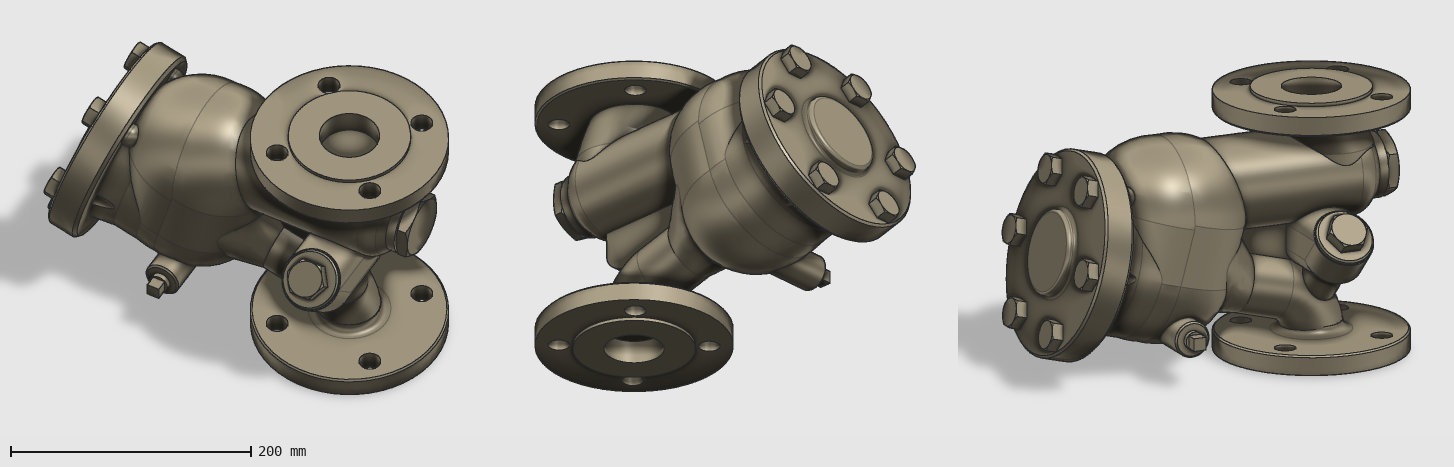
import cadquery as cq
import math


FACE_TO_FACE = 230.0
FLANGE_DIA = 165.0
FLANGE_THICKNESS = 17.0
FLANGE_CHAMFER = 1.5
RAISED_DIA = 102.0
RAISED_HEIGHT = 3.0
FLANGE_BOLT_CIRCLE = 125.0
FLANGE_HOLE_DIA = 18.0
FLANGE_HOLES = 4
BORE_DIA = 50.0
BORE_DEPTH = 20.0
HALF_HEIGHT = FACE_TO_FACE / 2
FLANGE_BACK_Z = HALF_HEIGHT - RAISED_HEIGHT - FLANGE_THICKNESS

BARREL_RADIUS = 40.0
BARREL_Z = 40.0
BARREL_ROUND_START_X = 29.5
BARREL_ROUND_RADIUS = 20.0
BARREL_ROUND_ANGLE = 45.0
BARREL_NECK_DIA = 56.0
BARREL_NECK_START_X = 50.0
BARREL_NECK_END_X = 58.2
PLUG_FLATS = 50.0
PLUG_THICKNESS = 11.0

HEX_CHAMFER_SLOPE = 0.5

NECK_DIA = 75.0
NECK_SHIFT = 16.0
NECK_MID_SHIFT = 9.0
NECK_STRAIGHT_Z = 64.5

TILT = 15.0
COVER_X = -233.85
AXIS_MEET_Z = -64.0
COVER_DIA = 176.0
COVER_THICKNESS = 27.7
COVER_FRONT_CHAMFER = 2.0
COVER_BACK_CHAMFER = 3.0
CHAMBER_RADIUS = 61.5
CHAMBER_FLARE_RADIUS = 66.0
CHAMBER_FLARE_END = 49.0
CHAMBER_SPHERE_AT = 95.0
OUTLET_RADIUS = 26.5
OUTLET_BLEND = 20.0
OUTLET_FOOT_FLARE = 8.0
SHOULDER_START = 131.0
SHOULDER_START_RADIUS = 51.0
SHOULDER_START_RISE = 20.0
SHOULDER_END = 174.0
COVER_BOSS_DIA = 73.0
COVER_BOSS_HEIGHT = 8.0
COVER_BOSS_FILLET = 3.0

COVER_BOLTS = 6
COVER_BOLT_CIRCLE = 144.0
BOLT_FLATS = 24.0
BOLT_HEAD_HEIGHT = 10.0
BOSSED_BOLTS = (1, 2)
BOLT_BOSS_RADIUS = 10.0
BOLT_BOSS_LENGTH = 2.5
BOLT_RELIEF_DIA = 20.0
BOLT_RELIEF_LENGTH = 25.0

DOME_X = -134.5
DOME_Z = 25.0
DOME_RADIUS = 62.5
DOME_SPREAD = 14.0

CAP_ELEVATION = 45.0
CAP_AXIS_Z = -65.0
CAP_STEM_DIA = 34.0
CAP_BODY_DIA = 52.0
CAP_BODY_START = 62.0
CAP_BODY_END = 92.0
CAP_CHAMFER = 1.5
CAP_RING_DIA = 50.0
CAP_RING_HEIGHT = 4.0
CAP_HEX_FLATS = 30.0
CAP_HEX_HEIGHT = 11.0

DRAIN_X = -140.2
DRAIN_Z = -69.3
DRAIN_BOSS_DIA = 31.0
DRAIN_BOSS_END = 69.5
DRAIN_CHAMFER = 1.5
DRAIN_COLLAR_DIA = 16.0
DRAIN_COLLAR_HEIGHT = 4.5
DRAIN_SQUARE = 11.0
DRAIN_SQUARE_HEIGHT = 10.0

WEB_THICKNESS = 12.0

TILT_COS = math.cos(math.radians(TILT))
TILT_SIN = math.sin(math.radians(TILT))
AXIS_DIR = cq.Vector(TILT_COS, 0, -TILT_SIN)
COVER_CENTRE = cq.Vector(COVER_X, 0, AXIS_MEET_Z - COVER_X * TILT_SIN / TILT_COS)
AXIS_LENGTH = -COVER_X / TILT_COS
CAP_DIR = cq.Vector(0, -math.cos(math.radians(CAP_ELEVATION)), math.sin(math.radians(CAP_ELEVATION)))
AXIAL_PLANE = cq.Plane(origin=COVER_CENTRE, xDir=AXIS_DIR, normal=(0, -1, 0))


def across_corners(flats):
    return flats / math.cos(math.pi / 6)


def cylinder(start, direction, radius, length):
    return cq.Workplane(obj=cq.Solid.makeCylinder(radius, length, start, direction))


def hexagon(plane, flats, height, both_ends=False):
    """Hexagonal head, first corner on the plane's x, with corners chamfered at the outer or both ends."""
    corners = across_corners(flats)
    depth = (corners - flats) / 2
    prism = cq.Workplane(plane).polygon(6, corners).extrude(height)
    turned = cq.Workplane(plane).circle(corners / 2).extrude(height)
    outer_face = cq.selectors.DirectionMinMaxSelector(plane.zDir, True)
    end_faces = cq.selectors.ParallelDirSelector(plane.zDir)
    turned = turned.faces(end_faces if both_ends else outer_face)
    return prism.intersect(turned.chamfer(depth * HEX_CHAMFER_SLOPE, depth))


def flange(side):
    """Pipe flange with a raised face; side is +1 for the inlet and -1 for the outlet."""
    plane = cq.Plane(origin=(0, 0, side * FLANGE_BACK_Z), xDir=(1, 0, 0), normal=(0, 0, side))
    disc = cq.Workplane(plane).circle(FLANGE_DIA / 2).extrude(FLANGE_THICKNESS)
    disc = disc.faces("<Z" if side > 0 else ">Z").chamfer(FLANGE_CHAMFER)
    raised = cq.Workplane(plane).circle(RAISED_DIA / 2).extrude(FLANGE_THICKNESS + RAISED_HEIGHT)
    holes = (
        cq.Workplane(plane)
        .polarArray(FLANGE_BOLT_CIRCLE / 2, 180 / FLANGE_HOLES, 360, FLANGE_HOLES)
        .circle(FLANGE_HOLE_DIA / 2)
        .extrude(FLANGE_THICKNESS)
    )
    return disc.union(raised).cut(holes)


def bore(side):
    plane = cq.Plane(origin=(0, 0, side * HALF_HEIGHT), xDir=(1, 0, 0), normal=(0, 0, -side))
    return cq.Workplane(plane).circle(BORE_DIA / 2).extrude(BORE_DEPTH)


def barrel():
    """Horizontal barrel: rounded shoulder, conical step and plug neck."""
    turn = math.radians(BARREL_ROUND_ANGLE)
    round_x = BARREL_ROUND_START_X + BARREL_ROUND_RADIUS * math.sin(turn)
    round_r = BARREL_RADIUS - BARREL_ROUND_RADIUS * (1 - math.cos(turn))
    mid_x = BARREL_ROUND_START_X + BARREL_ROUND_RADIUS * math.sin(turn / 2)
    mid_r = BARREL_RADIUS - BARREL_ROUND_RADIUS * (1 - math.cos(turn / 2))
    plane = cq.Plane(origin=(0, 0, BARREL_Z), xDir=(1, 0, 0), normal=(0, -1, 0))
    return (
        cq.Workplane(plane)
        .moveTo(DOME_X, 0)
        .lineTo(DOME_X, BARREL_RADIUS)
        .lineTo(BARREL_ROUND_START_X, BARREL_RADIUS)
        .threePointArc((mid_x, mid_r), (round_x, round_r))
        .lineTo(BARREL_NECK_START_X, BARREL_NECK_DIA / 2)
        .lineTo(BARREL_NECK_END_X, BARREL_NECK_DIA / 2)
        .lineTo(BARREL_NECK_END_X, 0)
        .close()
        .revolve(360, (0, 0), (1, 0))
    )


def barrel_plug():
    plane = cq.Plane(origin=(BARREL_NECK_END_X, 0, BARREL_Z), xDir=(0, 0, 1), normal=(1, 0, 0))
    return hexagon(plane, PLUG_FLATS, PLUG_THICKNESS, both_ends=True)


def inlet_neck():
    """Neck that leaves the inlet flange and leans towards +X, ending upright inside the barrel."""
    lean_height = FLANGE_BACK_Z - NECK_STRAIGHT_Z
    radius = NECK_DIA / 2
    foot = cq.Vector(NECK_SHIFT, 0, BARREL_Z)
    upright = cylinder(foot, cq.Vector(0, 0, 1), radius, NECK_STRAIGHT_Z - BARREL_Z)
    lean = (
        cq.Workplane("XY", origin=(0, 0, FLANGE_BACK_Z))
        .circle(radius)
        .workplane(offset=-lean_height / 2)
        .center(NECK_MID_SHIFT, 0)
        .circle(radius)
        .workplane(offset=-lean_height / 2)
        .center(NECK_SHIFT - NECK_MID_SHIFT, 0)
        .circle(radius)
        .loft()
    )
    return lean.union(upright)


def bend_radius():
    """Radius of the bend from the tilted axis to vertical, ending at the outlet flange."""
    return (FLANGE_BACK_Z + AXIS_MEET_Z) / math.tan(math.radians(90 - TILT) / 2)


def bend_start():
    """Distance along the tilted axis from the cover face to the start of the bend."""
    return AXIS_LENGTH - (FLANGE_BACK_Z + AXIS_MEET_Z)


def chamber():
    """Cover, flared chamber, spherical end and outlet pipe as one turned shape."""
    cover_radius = COVER_DIA / 2
    blend_r = OUTLET_RADIUS + OUTLET_BLEND
    centre_gap = CHAMBER_RADIUS + OUTLET_BLEND
    blend_angle = math.asin(blend_r / centre_gap)
    blend_x = CHAMBER_SPHERE_AT + centre_gap * math.cos(blend_angle)

    def on_sphere(angle):
        return (CHAMBER_SPHERE_AT + CHAMBER_RADIUS * math.cos(angle), CHAMBER_RADIUS * math.sin(angle))

    def on_blend(angle):
        return (blend_x - OUTLET_BLEND * math.cos(angle), blend_r - OUTLET_BLEND * math.sin(angle))

    right_angle = math.pi / 2
    mid_angle = (blend_angle + right_angle) / 2
    return (
        cq.Workplane(AXIAL_PLANE)
        .moveTo(0, 0)
        .lineTo(0, cover_radius - COVER_FRONT_CHAMFER)
        .lineTo(COVER_FRONT_CHAMFER, cover_radius)
        .lineTo(COVER_THICKNESS - COVER_BACK_CHAMFER, cover_radius)
        .lineTo(COVER_THICKNESS, cover_radius - COVER_BACK_CHAMFER)
        .lineTo(COVER_THICKNESS, CHAMBER_FLARE_RADIUS)
        .lineTo(CHAMBER_FLARE_END, CHAMBER_RADIUS)
        .lineTo(CHAMBER_SPHERE_AT, CHAMBER_RADIUS)
        .threePointArc(on_sphere(mid_angle), on_sphere(blend_angle))
        .threePointArc(on_blend(mid_angle), on_blend(right_angle))
        .lineTo(bend_start(), OUTLET_RADIUS)
        .lineTo(bend_start(), 0)
        .close()
        .revolve(360, (0, 0), (1, 0))
    )


def outlet_bend():
    start = COVER_CENTRE + AXIS_DIR * bend_start()
    plane = cq.Plane(origin=start, xDir=(0, 1, 0), normal=AXIS_DIR)
    below = -bend_radius()
    return cq.Workplane(plane).circle(OUTLET_RADIUS).revolve(90 - TILT, (0, below), (1, below))


def outlet_foot():
    """Concave flare where the outlet bend meets its flange."""
    flare = OUTLET_FOOT_FLARE
    inset = flare * (1 - math.sqrt(0.5))
    return (
        cq.Workplane("XZ", origin=(0, 0, -FLANGE_BACK_Z))
        .moveTo(0, 0)
        .lineTo(OUTLET_RADIUS + flare, 0)
        .threePointArc((OUTLET_RADIUS + inset, inset), (OUTLET_RADIUS, flare))
        .lineTo(0, flare)
        .close()
        .revolve(360, (0, 0), (0, 1))
    )


def outlet_shoulder():
    """Tapered shoulder that eases the dome wall into the outlet pipe."""
    start = COVER_CENTRE + AXIS_DIR * SHOULDER_START
    plane = cq.Plane(origin=start, xDir=(0, 1, 0), normal=AXIS_DIR)
    return (
        cq.Workplane(plane)
        .center(0, SHOULDER_START_RISE)
        .circle(SHOULDER_START_RADIUS)
        .workplane(offset=SHOULDER_END - SHOULDER_START)
        .center(0, -SHOULDER_START_RISE)
        .circle(OUTLET_RADIUS)
        .loft()
    )


def cover_boss():
    """Round boss on the cover, with a filleted foot and a rounded rim."""
    radius = COVER_BOSS_DIA / 2
    fillet = COVER_BOSS_FILLET
    rim_start = COVER_BOSS_HEIGHT - fillet
    return (
        cq.Workplane(AXIAL_PLANE)
        .moveTo(0, 0)
        .lineTo(0, radius + fillet)
        .radiusArc((-fillet, radius), fillet)
        .lineTo(-rim_start, radius)
        .radiusArc((-COVER_BOSS_HEIGHT, radius - fillet), -fillet)
        .lineTo(-COVER_BOSS_HEIGHT, 0)
        .close()
        .revolve(360, (0, 0), (1, 0))
    )


def bolt_seat(index):
    """Centre of one cover bolt on the cover's outer face, counted from +Y towards the top."""
    angle = 2 * math.pi * index / COVER_BOLTS
    radial = cq.Vector(0, math.cos(angle), 0) + AXIAL_PLANE.yDir * math.sin(angle)
    return COVER_CENTRE + radial * (COVER_BOLT_CIRCLE / 2)


def bolt_head(seat):
    plane = cq.Plane(origin=seat, xDir=(0, 1, 0), normal=AXIS_DIR * -1)
    return hexagon(plane, BOLT_FLATS, BOLT_HEAD_HEIGHT)


def bolt_relief(seat):
    """Round relief cut into the chamber behind the cover flange, in line with a bolt."""
    start = seat + AXIS_DIR * COVER_THICKNESS
    return cylinder(start, AXIS_DIR, BOLT_RELIEF_DIA / 2, BOLT_RELIEF_LENGTH)


def bolt_boss(seat):
    """Round-ended boss that houses a bolt where the dome crowds the back of the cover flange."""
    length = COVER_THICKNESS + BOLT_BOSS_LENGTH
    plane = cq.Plane(origin=seat, xDir=AXIS_DIR, normal=(0, -1, 0))
    return (
        cq.Workplane(plane)
        .moveTo(COVER_THICKNESS / 2, 0)
        .lineTo(COVER_THICKNESS / 2, BOLT_BOSS_RADIUS)
        .lineTo(length, BOLT_BOSS_RADIUS)
        .radiusArc((length + BOLT_BOSS_RADIUS, 0), BOLT_BOSS_RADIUS)
        .close()
        .revolve(360, (0, 0), (1, 0))
    )


def dome_lobe(centre):
    """Round-ended lobe that drops from a dome centre, square to the tilted axis, down to that axis."""
    up = AXIAL_PLANE.yDir
    drop = (centre - COVER_CENTRE).dot(up)
    plane = cq.Plane(origin=centre, xDir=up * -1, normal=(0, 1, 0))
    return (
        cq.Workplane(plane)
        .moveTo(-DOME_RADIUS, 0)
        .radiusArc((0, DOME_RADIUS), DOME_RADIUS)
        .lineTo(drop, DOME_RADIUS)
        .radiusArc((drop + DOME_RADIUS, 0), DOME_RADIUS)
        .close()
        .revolve(360, (0, 0), (1, 0))
    )


def dome():
    """Two equal lobes side by side along X."""
    offset = cq.Vector(DOME_SPREAD / 2, 0, 0)
    middle = cq.Vector(DOME_X, 0, DOME_Z)
    return dome_lobe(middle - offset).union(dome_lobe(middle + offset))


def web():
    """Flat web that ties the barrel to the outlet pipe, between the dome and the valve cap."""
    axis_z = AXIS_MEET_Z - DOME_X * TILT_SIN / TILT_COS
    outline = [(DOME_X, BARREL_Z), (0, BARREL_Z), (0, AXIS_MEET_Z), (DOME_X, axis_z)]
    return cq.Workplane("XZ").polyline(outline).close().extrude(WEB_THICKNESS / 2, both=True)


def cap_point(distance):
    """Point on the valve cap axis, measured from where it crosses the flange axis."""
    return cq.Vector(0, 0, CAP_AXIS_Z) + CAP_DIR * distance


def valve_body():
    """Valve body: the tilted round body under the cap, carried back along +Y to the web."""
    radius = CAP_BODY_DIA / 2
    half_height = radius * math.cos(math.radians(CAP_ELEVATION))
    top_z = cap_point(CAP_BODY_END).z
    bottom_z = cap_point(CAP_BODY_START).z
    middle_z = (top_z + bottom_z) / 2
    back_plane = cq.Plane(origin=(0, WEB_THICKNESS / 2, 0), xDir=(1, 0, 0), normal=(0, -1, 0))
    reach = -cap_point(CAP_BODY_END).y + radius + WEB_THICKNESS
    swept = cq.Workplane(back_plane).center(0, middle_z).rect(CAP_BODY_DIA, top_z - bottom_z).extrude(reach)
    for end_z in (top_z, bottom_z):
        rounded_end = cq.Workplane(back_plane).center(0, end_z).ellipse(radius, half_height).extrude(reach)
        swept = swept.union(rounded_end)
    start_plane = cq.Plane(origin=cap_point(-reach), xDir=(1, 0, 0), normal=CAP_DIR)
    round_front = (
        cq.Workplane(start_plane)
        .moveTo(-radius, 0)
        .threePointArc((0, -radius), (radius, 0))
        .lineTo(radius, 2 * reach)
        .lineTo(-radius, 2 * reach)
        .close()
        .extrude(CAP_BODY_END + reach)
    )
    return swept.intersect(round_front)


def valve_cap():
    """Stem, body, ring and hexagonal cap rising towards -Y from the outlet bend."""
    ring_end = CAP_BODY_END + CAP_RING_HEIGHT
    stem = cylinder(cap_point(0), CAP_DIR, CAP_STEM_DIA / 2, CAP_BODY_END)
    ring_plane = cq.Plane(origin=cap_point(CAP_BODY_END), xDir=(1, 0, 0), normal=CAP_DIR)
    ring = cq.Workplane(ring_plane).circle(CAP_RING_DIA / 2).extrude(CAP_RING_HEIGHT)
    outer_face = cq.selectors.DirectionMinMaxSelector(CAP_DIR, True)
    ring = ring.faces(outer_face).chamfer(CAP_CHAMFER)
    hex_plane = cq.Plane(origin=cap_point(ring_end), xDir=(1, 0, 0), normal=CAP_DIR)
    hex_head = hexagon(hex_plane, CAP_HEX_FLATS, CAP_HEX_HEIGHT)
    return valve_body().union(stem).union(ring).union(hex_head)


def drain():
    """Drain boss with a collar and a square-headed plug, pointing to -Y."""
    plane = cq.Plane(origin=(DRAIN_X, 0, DRAIN_Z), xDir=(1, 0, 0), normal=(0, -1, 0))
    collar_end = DRAIN_BOSS_END + DRAIN_COLLAR_HEIGHT
    square_end = collar_end + DRAIN_SQUARE_HEIGHT
    boss = cq.Workplane(plane).circle(DRAIN_BOSS_DIA / 2).extrude(DRAIN_BOSS_END)
    boss = boss.faces("<Y").chamfer(DRAIN_CHAMFER)
    collar = cq.Workplane(plane).circle(DRAIN_COLLAR_DIA / 2).extrude(collar_end)
    square = cq.Workplane(plane).rect(DRAIN_SQUARE, DRAIN_SQUARE).extrude(square_end)
    return boss.union(collar).union(square)


result = chamber().union(outlet_bend()).union(dome()).union(outlet_shoulder())
for bolt in range(COVER_BOLTS):
    seat = bolt_seat(bolt)
    result = result.union(bolt_head(seat))
    if bolt in BOSSED_BOLTS:
        result = result.union(bolt_boss(seat))
    else:
        result = result.cut(bolt_relief(seat))
result = result.union(barrel()).union(inlet_neck()).union(web())
result = result.union(flange(1)).union(flange(-1)).union(outlet_foot())
result = result.union(barrel_plug()).union(cover_boss())
result = result.union(valve_cap()).union(drain())
result = result.cut(bore(1)).cut(bore(-1))